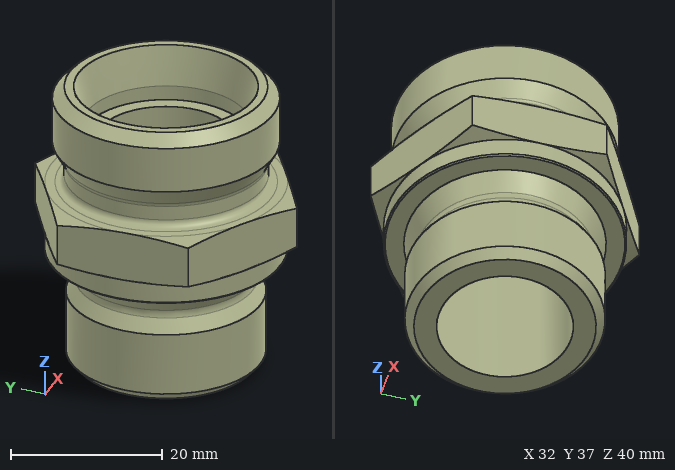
import cadquery as cq
import math

total_height = 40.0
through_bore_radius = 18.0 / 2

spigot_radius = 26.4 / 2
spigot_tip_radius = 12.0
spigot_chamfer_height = 1.3
spigot_top_z = 10.0
waist_radius = 11.75
waist_lower_angle = 30.0
waist_z = spigot_top_z + (spigot_radius - waist_radius) / math.tan(math.radians(waist_lower_angle))
waist_top_radius = 13.3

collar_bottom_z = 16.0
collar_chamfer = 0.2

across_flats = 32.0
hex_bottom_z = 19.0
hex_top_z = 26.0
hex_chamfer_angle = 15.0
hex_corner_radius = across_flats / math.sqrt(3)
collar_radius = across_flats / 2

neck_radius = 27.0 / 2
head_radius = 30.0 / 2
head_bottom_z = 32.0
head_taper_angle = 30.0
neck_top_z = head_bottom_z - (head_radius - neck_radius) / math.tan(math.radians(head_taper_angle))
head_chamfer = 1.6

waist_fillet = 1.2
neck_top_fillet = 1.0
neck_base_fillet = 1.15

socket_mouth_radius = 12.15
socket_radius = 22.0 / 2
socket_half_angle = 12.0
socket_depth = 7.5
socket_cone_depth = (socket_mouth_radius - socket_radius) / math.tan(math.radians(socket_half_angle))


def revolve_profile(points):
    """Revolve a closed (radius, z) outline around the Z axis."""
    return cq.Workplane("XZ").polyline(points).close().revolve(360, (0, 0), (0, 1))


def fillet_ring(body, z, radius):
    """Round the circular edge centred on the axis at height z."""
    return body.edges(cq.selectors.NearestToPointSelector((0, 0, z))).fillet(radius)


def make_lower_body():
    body = revolve_profile([
        (0, 0),
        (spigot_tip_radius, 0),
        (spigot_radius, spigot_chamfer_height),
        (spigot_radius, spigot_top_z),
        (waist_radius, waist_z),
        (waist_top_radius, collar_bottom_z),
        (collar_radius - collar_chamfer, collar_bottom_z),
        (collar_radius, collar_bottom_z + collar_chamfer),
        (collar_radius, hex_bottom_z),
        (0, hex_bottom_z),
    ])
    return fillet_ring(body, waist_z, waist_fillet)


def make_hexagon():
    """Hexagon with corners on the Y axis, its corners turned off by cones at both ends."""
    height = hex_top_z - hex_bottom_z
    prism = (
        cq.Workplane("XY", origin=(0, 0, hex_bottom_z))
        .polygon(6, 2 * hex_corner_radius)
        .extrude(height)
        .rotate((0, 0, 0), (0, 0, 1), 30)
    )
    chamfer_drop = (hex_corner_radius - collar_radius) * math.tan(math.radians(hex_chamfer_angle))
    turned_envelope = revolve_profile([
        (0, hex_bottom_z),
        (collar_radius, hex_bottom_z),
        (hex_corner_radius, hex_bottom_z + chamfer_drop),
        (hex_corner_radius, hex_top_z - chamfer_drop),
        (collar_radius, hex_top_z),
        (0, hex_top_z),
    ])
    return prism.intersect(turned_envelope)


def make_head():
    """Head and neck; the neck flares out onto the hexagon through a concave fillet."""
    head = revolve_profile([
        (0, hex_top_z),
        (neck_radius, hex_top_z),
        (neck_radius, neck_top_z),
        (head_radius, head_bottom_z),
        (head_radius, total_height - head_chamfer),
        (head_radius - head_chamfer, total_height),
        (0, total_height),
    ])
    return fillet_ring(head, neck_top_z, neck_top_fillet)


def make_bore():
    socket_floor_z = total_height - socket_depth
    return revolve_profile([
        (0, 0),
        (through_bore_radius, 0),
        (through_bore_radius, socket_floor_z),
        (socket_radius, socket_floor_z),
        (socket_radius, total_height - socket_cone_depth),
        (socket_mouth_radius, total_height),
        (0, total_height),
    ])


def make_neck_flare():
    """Ring with a quarter-round concave face filling the corner between neck and hexagon."""
    arc_offset = neck_base_fillet * (1 - math.sqrt(0.5))
    return (
        cq.Workplane("XZ")
        .moveTo(0, hex_top_z)
        .lineTo(neck_radius + neck_base_fillet, hex_top_z)
        .threePointArc(
            (neck_radius + arc_offset, hex_top_z + arc_offset),
            (neck_radius, hex_top_z + neck_base_fillet),
        )
        .lineTo(0, hex_top_z + neck_base_fillet)
        .close()
        .revolve(360, (0, 0), (0, 1))
    )


result = (
    make_lower_body()
    .union(make_hexagon())
    .union(make_head())
    .union(make_neck_flare())
    .cut(make_bore())
)